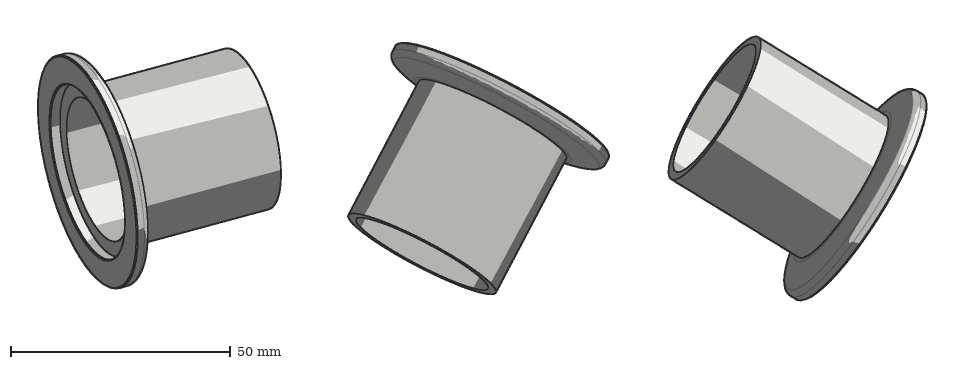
import cadquery as cq
import math

flange_radius = 27.5
length = 40.0
tube_radius = 19.05
bore_radius = 17.0

flange_thickness = 5.0
shoulder_radius = 20.0
taper_angle = math.radians(15)
rim_fillet = 1.5
front_chamfer = 0.3

seat_radius = 20.6
seat_depth = 2.6
seat_chamfer = 0.3

rim_height = flange_thickness - (flange_radius - shoulder_radius) * math.tan(taper_angle)


def make_flange():
    """Revolve the flange about Y, then round the edge between cone and rim."""
    flange = (
        cq.Workplane("XY")
        .polyline([
            (0, 0),
            (flange_radius - front_chamfer, 0),
            (flange_radius, front_chamfer),
            (flange_radius, rim_height),
            (shoulder_radius, flange_thickness),
            (0, flange_thickness),
        ])
        .close()
        .revolve(360, (0, 0, 0), (0, 1, 0))
    )
    rim_edge = cq.selectors.NearestToPointSelector((0, rim_height, 0))
    return flange.edges("%CIRCLE").edges(rim_edge).fillet(rim_fillet)


def cylinder(radius, depth):
    """Cylinder along +Y, starting on the flange face."""
    return cq.Workplane("XZ").circle(radius).extrude(-depth)


def make_seat():
    """Volume of the seat recess, widening at the flange face."""
    return (
        cq.Workplane("XY")
        .polyline([
            (0, 0),
            (seat_radius + seat_chamfer, 0),
            (seat_radius, seat_chamfer),
            (seat_radius, seat_depth),
            (0, seat_depth),
        ])
        .close()
        .revolve(360, (0, 0, 0), (0, 1, 0))
    )


result = (
    make_flange()
    .union(cylinder(tube_radius, length))
    .cut(cylinder(bore_radius, length))
    .cut(make_seat())
)